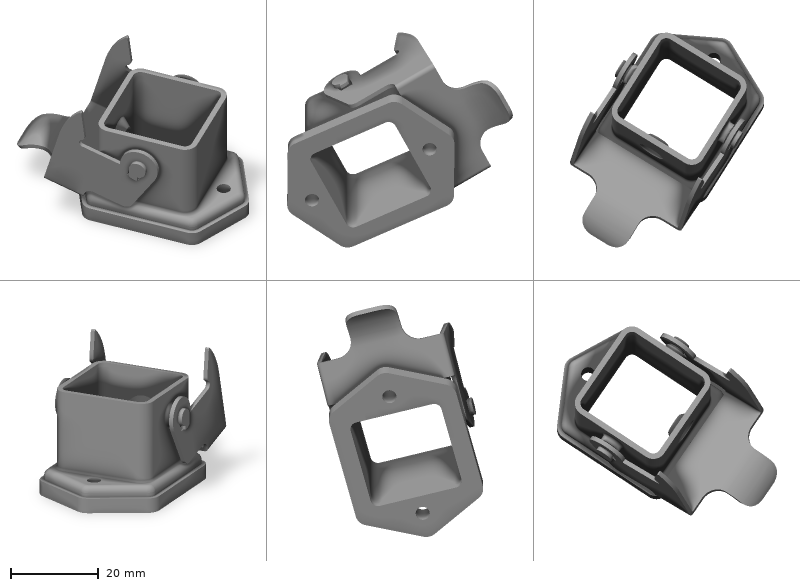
import cadquery as cq
import math

corner_x = 11.9
corner_y = 12.0
tip_x = 18.0
flange_radius = 3.0
flange_height = 3.5
step_inset = 1.0
step_top = 6.0
step_fillet = 1.5
mount_hole_x = 15.0
mount_hole_diameter = 3.2

box_side = 24.0
box_top = 25.0
box_corner_radius = 3.0
box_wall = 1.3
root_fillet = 0.5

screw_z = 14.0
seat_depth = 2.0
seat_root_radius = 4.45
seat_tip_radius = 2.5
sink_radius = 3.1
screw_radius = 1.65
sink_depth = 1.9

pivot_z = 19.0
collar_radius = 2.5
collar_end_y = 13.5
pin_radius = 2.0
pin_end_y = 16.0
tab_radius = 3.0
tab_start_y = 15.2

lever_tilt = 15.0
sheet = 1.0
lever_width = 30.0
bend_inner_radius = 0.35
bend_outer_radius = 1.0
plate_back = -20.0
plate_front = -10.0
plate_bottom = -16.0
plate_top = plate_bottom + sheet

eye_radius = 4.6
arm_top = -1.4
arm_bottom = -12.9
relief_radius = 2.0
heel_radius = 2.2
eye_tangent_angle = -17.0
hook_radius = 1.0
hook_x = -14.0
hook_turn_angle = 125.0
claw_edge_angle = 21.5
claw_tip = (-17.1, 8.0)
claw_nose = (-16.7, 7.8)
back_arc_start = -0.55

slot_bottom = -3.4
slot_bottom_right = 1.0
slot_side_angle = -39.0

tongue_half_width = 6.0
tongue_radius = 9.0
tongue_center_x = -22.0
tongue_sweep = 67.0
tongue_corner_radius = 4.0


def polar(radius, angle, center=(0.0, 0.0)):
    """Point at a distance and angle (degrees) from a centre."""
    turn = math.radians(angle)
    return (center[0] + radius * math.cos(turn), center[1] + radius * math.sin(turn))


def pointed_plate(radius, bottom, top):
    """Six-sided plate whose corners are rounded with one radius."""
    centers = [
        (corner_x, -corner_y), (tip_x, 0), (corner_x, corner_y),
        (-corner_x, corner_y), (-tip_x, 0), (-corner_x, -corner_y),
    ]
    outline = cq.Workplane("XY").workplane(offset=bottom).polyline(centers).close()
    return outline.offset2D(radius).extrude(top - bottom)


def square_block(side, radius, bottom, top):
    block = cq.Workplane("XY").workplane(offset=bottom).rect(side, side).extrude(top - bottom)
    return block.edges("|Z").fillet(radius)


def x_axis_cone(start_x, length, start_radius, end_radius):
    """Cone along +X at the height of the screw."""
    return cq.Workplane(cq.Solid.makeCone(
        start_radius, end_radius, length, cq.Vector(start_x, 0, screw_z), cq.Vector(1, 0, 0)))


def root_flare(axis_radius, length):
    """Ring-shaped concave fillet around a pivot, profile in the XY plane."""
    return (
        cq.Workplane("XY")
        .moveTo(0, 0)
        .lineTo(axis_radius + length, 0)
        .radiusArc((axis_radius, length), length)
        .lineTo(0, length)
        .close()
        .revolve(360, (0, 0, 0), (0, 1, 0))
    )


def box_root_fillet():
    """Concave fillet where the box stands on the step."""
    foot_side = box_side + 2 * root_fillet
    foot = square_block(
        foot_side, box_corner_radius + root_fillet, step_top, step_top + root_fillet)
    groove = (
        cq.Workplane("XZ")
        .center(foot_side / 2, step_top + root_fillet)
        .circle(root_fillet)
        .sweep(foot.faces(">Z").wires())
    )
    return foot.cut(groove)


def make_body():
    flange = pointed_plate(flange_radius, 0, flange_height)
    step = pointed_plate(flange_radius - step_inset, flange_height, step_top)
    step = step.faces(">Z").edges().fillet(step_fillet)

    box = square_block(box_side, box_corner_radius, 0, box_top)
    cavity_side = box_side - 2 * box_wall
    cavity = square_block(cavity_side, box_corner_radius - box_wall, 0, box_top)

    wall_outer = -box_side / 2
    wall_inner = wall_outer + box_wall
    boss = x_axis_cone(wall_inner, seat_depth, seat_root_radius, seat_tip_radius)
    sink = x_axis_cone(wall_outer, sink_depth, sink_radius, screw_radius)
    screw_hole = (
        cq.Workplane("YZ", origin=(wall_outer, 0, screw_z))
        .circle(screw_radius)
        .extrude(box_wall + seat_depth)
    )

    holes = (
        cq.Workplane("XY")
        .pushPoints([(-mount_hole_x, 0), (mount_hole_x, 0)])
        .circle(mount_hole_diameter / 2)
        .extrude(step_top)
    )
    shell = flange.union(step)
    shell = shell.union(box).union(box_root_fillet())
    return shell.cut(cavity).union(boss).cut(sink).cut(screw_hole).cut(holes)


def make_pivot():
    """Pin on the +Y side with its collar and retaining tab."""
    wall_y = box_side / 2

    def disc(radius, start_y, end_y):
        return cq.Workplane("XZ", origin=(0, start_y, 0)).circle(radius).extrude(start_y - end_y)

    flare = root_flare(collar_radius, root_fillet).translate((0, wall_y, 0))
    pin = disc(collar_radius, wall_y, collar_end_y).union(flare)
    pin = pin.union(disc(pin_radius, collar_end_y, pin_end_y))

    tab_window = cq.Workplane("XY").box(
        pin_radius, pin_end_y, tab_radius, centered=False).translate((-pin_radius, 0, -tab_radius))
    tab = disc(tab_radius, tab_start_y, pin_end_y).intersect(tab_window)
    return pin.union(tab).translate((0, 0, pivot_z))


def arm_outline():
    """Side outline of the lever, plate included."""
    eye_left = (-math.sqrt(eye_radius**2 - arm_top**2), arm_top)
    eye_right = polar(eye_radius, eye_tangent_angle)
    slant = math.radians(eye_tangent_angle + 90)
    heel_x = eye_right[0] - (eye_right[1] - arm_bottom) / math.tan(slant)

    heel_reach = heel_radius * math.tan(slant / 2)
    heel_start = (heel_x - heel_reach, arm_bottom)
    heel_end = (heel_x + heel_reach * math.cos(slant), arm_bottom + heel_reach * math.sin(slant))

    notch_center = (hook_x, arm_top + hook_radius)
    notch_end = polar(hook_radius, hook_turn_angle, notch_center)
    round_center = polar(2 * hook_radius, hook_turn_angle, notch_center)
    round_end = polar(hook_radius, claw_edge_angle, round_center)

    relief_top = plate_front + relief_radius
    return (
        cq.Workplane("XZ")
        .moveTo(plate_front, plate_bottom)
        .lineTo(plate_back, plate_bottom)
        .lineTo(plate_back, back_arc_start)
        .tangentArcPoint(claw_tip, relative=False)
        .lineTo(*claw_nose)
        .lineTo(*round_end)
        .threePointArc(polar(hook_radius, 0, round_center), notch_end)
        .threePointArc(polar(hook_radius, 180, notch_center), (hook_x, arm_top))
        .lineTo(*eye_left)
        .threePointArc((0, eye_radius), eye_right)
        .lineTo(*heel_end)
        .tangentArcPoint(heel_start, relative=False)
        .lineTo(relief_top, arm_bottom)
        .tangentArcPoint((plate_front, arm_bottom - relief_radius), relative=False)
        .close()
    )


def centered_bar(section, width):
    """Extrude an XZ outline symmetrically about the XZ plane."""
    return section.extrude(width / 2, both=True)


def channel():
    """U-shaped sheet running along X, open at the top."""
    length = 2 * abs(plate_back)
    height = 2 * abs(plate_bottom)

    def rounded_bar(width, bottom, radius):
        bar = cq.Workplane("XY").box(length, width, height, centered=(True, True, False))
        return bar.edges("|X and <Z").fillet(radius).translate((0, 0, bottom))

    outer = rounded_bar(lever_width, plate_bottom, bend_outer_radius)
    inner = rounded_bar(lever_width - 2 * sheet, plate_top, bend_inner_radius)
    return outer.cut(inner)


def pin_slot():
    """Round pin hole that runs out into a slot below."""
    hole = cq.Workplane("XZ").circle(pin_radius)
    slot = (
        cq.Workplane("XZ")
        .moveTo(0, 0)
        .lineTo(-pin_radius, 0)
        .lineTo(-pin_radius, slot_bottom)
        .lineTo(slot_bottom_right, slot_bottom)
        .lineTo(*polar(pin_radius, slot_side_angle))
        .close()
    )
    return centered_bar(hole, lever_width).union(centered_bar(slot, lever_width))


def make_tongue():
    center = (tongue_center_x, plate_top - tongue_radius)
    inner_radius = tongue_radius - sheet
    end_angle = 90 + tongue_sweep
    middle_angle = 90 + tongue_sweep / 2
    strip = (
        cq.Workplane("XZ")
        .moveTo(plate_back, plate_top)
        .lineTo(tongue_center_x, plate_top)
        .threePointArc(polar(tongue_radius, middle_angle, center), polar(tongue_radius, end_angle, center))
        .lineTo(*polar(inner_radius, end_angle, center))
        .threePointArc(polar(inner_radius, middle_angle, center), (tongue_center_x, plate_bottom))
        .lineTo(plate_back, plate_bottom)
        .close()
    )

    root_half_width = tongue_half_width + tongue_corner_radius
    neck_x = plate_back - tongue_corner_radius
    far_x = center[0] - tongue_radius
    plan = (
        cq.Workplane("XY", origin=(0, 0, center[1]))
        .moveTo(far_x, -tongue_half_width)
        .lineTo(neck_x, -tongue_half_width)
        .tangentArcPoint((plate_back, -root_half_width), relative=False)
        .lineTo(plate_back, root_half_width)
        .radiusArc((neck_x, tongue_half_width), tongue_corner_radius)
        .lineTo(far_x, tongue_half_width)
        .close()
        .extrude(2 * tongue_radius)
    )
    tongue = centered_bar(strip, lever_width).intersect(plan)

    end_x, end_z = polar(tongue_radius, end_angle, center)
    normal_x, normal_z = polar(1, end_angle)
    end_plane = cq.Plane(
        origin=(end_x, 0, end_z), xDir=(-normal_z, 0, normal_x), normal=(normal_x, 0, normal_z))
    arc_inset = tongue_corner_radius * (1 - math.sqrt(0.5))
    flat_half_width = tongue_half_width - tongue_corner_radius
    for side in (-1, 1):
        corner = (
            cq.Workplane(end_plane)
            .moveTo(-tongue_corner_radius, side * tongue_half_width)
            .threePointArc((-arc_inset, side * (tongue_half_width - arc_inset)), (0, side * flat_half_width))
            .lineTo(0, side * tongue_half_width)
            .close()
            .extrude(tongue_corner_radius, both=True)
        )
        tongue = tongue.cut(corner)
    return tongue


def make_lever():
    lever = centered_bar(arm_outline(), lever_width).intersect(channel())
    lever = lever.cut(pin_slot()).union(make_tongue())
    return lever.rotate((0, 0, 0), (0, 1, 0), lever_tilt).translate((0, 0, pivot_z))


pivot = make_pivot()
result = make_body().union(pivot).union(pivot.mirror("XZ")).union(make_lever())